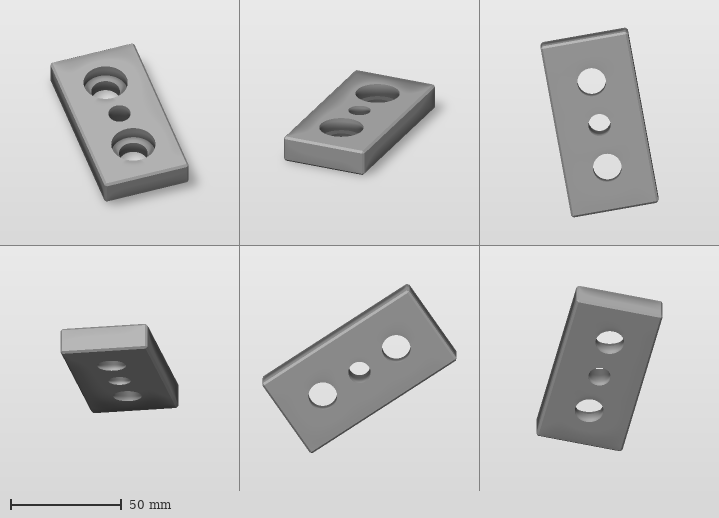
import cadquery as cq

length = 80.0
width = length / 2
thickness = 12.0
edge_chamfer = 1.0

bolt_spacing = length / 2
bolt_hole_diameter = 13.0
counterbore_diameter = 20.0
counterbore_depth = thickness / 2
center_hole_diameter = 10.1


def chamfered_plate():
    """Plate standing on Z = 0 with every outer edge chamfered."""
    plate = cq.Workplane("XY").box(length, width, thickness, centered=(True, True, False))
    return plate.edges().chamfer(edge_chamfer)


def add_bolt_holes(plate):
    """Two counterbored through holes, open towards +Z."""
    return (
        plate.faces(">Z")
        .workplane(origin=(0, 0, thickness))
        .rarray(bolt_spacing, 0.8, 2, 1)
        .cboreHole(bolt_hole_diameter, counterbore_diameter, counterbore_depth)
    )


def add_center_hole(plate):
    """Plain through hole in the middle of the plate."""
    return plate.faces(">Z").workplane(origin=(0, 0, thickness)).hole(center_hole_diameter)


result = add_center_hole(add_bolt_holes(chamfered_plate()))